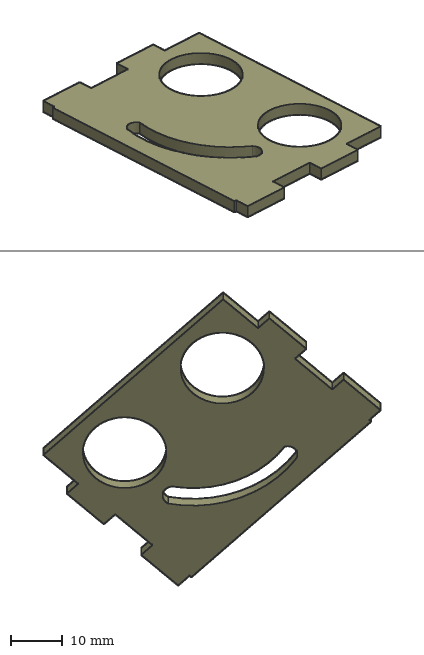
import cadquery as cq

overall_width = 56.0
plate_depth = 40.0
thickness = 2.5
body_width = 49.7

tab_length = 10.0
tab_pitch = 2 * tab_length
lower_tab_offset = 0.5

window_diameter = 16.1
window_spacing = 27.0
window_y = 9.1

inner_left = (-9.0, -12.05)
inner_middle = (2.8, -10.85)
inner_right = (12.6, -2.85)
right_tip = (15.25, -2.85)
outer_right = (15.9, -5.05)
outer_middle = (4.5, -14.35)
outer_left = (-8.75, -15.5)
left_tip = (-10.1, -13.85)


def curved_slot():
    return (
        cq.Workplane("XY")
        .moveTo(*inner_left)
        .threePointArc(inner_middle, inner_right)
        .threePointArc(right_tip, outer_right)
        .threePointArc(outer_middle, outer_left)
        .threePointArc(left_tip, inner_left)
        .close()
        .extrude(thickness)
    )


def tabbed_plate():
    plate = cq.Workplane("XY").rect(body_width, plate_depth).extrude(thickness)
    first_tab_y = -plate_depth / 2 + lower_tab_offset + tab_length / 2
    for tab_y in (first_tab_y, first_tab_y + tab_pitch):
        strip = cq.Workplane("XY").center(0, tab_y).rect(overall_width, tab_length).extrude(thickness)
        plate = plate.union(strip)
    return plate.clean()


def round_windows():
    return (
        cq.Workplane("XY")
        .pushPoints([(-window_spacing / 2, window_y), (window_spacing / 2, window_y)])
        .circle(window_diameter / 2)
        .extrude(thickness)
    )


result = tabbed_plate().cut(round_windows()).cut(curved_slot())